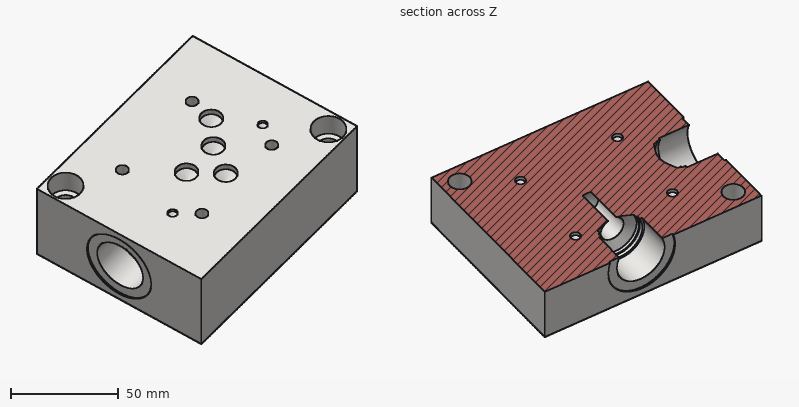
import cadquery as cq
import math

length_x = 95.2
length_y = 120.6
height = 44.4

drill_point_angle = 118.0

mount_edge_distance = 9.5
mount_diameter = 10.7
mount_head_diameter = 16.6
mount_head_depth = 12.1

tapped_spacing_x = 46.1
tapped_spacing_y = 53.9
thread_diameter = 6.0
thread_depth = 14.5
tap_drill_diameter = 5.0
tap_drill_depth = 18.1

pin_x = 12.0
pin_spacing_y = 69.7
pin_diameter = 4.8
pin_depth = 1.5

flow_points = [(-9.5, 23.8), (1.7, 10.4), (16.6, 0), (1.7, -10.4)]
flow_diameter = 11.1
flow_depth = 3.3

port_a_y = 6.4
port_b_x = 0
seal_diameter = 37.2
seal_depth = 0.8
port_thread_diameter = 26.5
port_thread_depth = 17.9
port_minor_diameter = 24.4
port_minor_depth = 19.9
port_drill_diameter = 23.0
port_drill_depth = 21.7
cross_drill_diameter = 12.7
cross_drill_depth = 45.8


def bore(diameter, depth):
    """Flat-bottomed tool cutting along -Z from the origin."""
    return cq.Workplane("XY").circle(diameter / 2).extrude(-depth)


def drill(diameter, depth):
    """Tool cutting along -Z: full diameter down to depth, then the drill point."""
    radius = diameter / 2
    point_length = radius / math.tan(math.radians(drill_point_angle / 2))
    profile = cq.Workplane("XZ").polyline(
        [(0, 0), (radius, 0), (radius, -depth), (0, -depth - point_length)]
    )
    return profile.close().revolve(360, (0, 0, 0), (0, 1, 0))


def port():
    """Stepped side port cutting along -Z from the origin."""
    tool = bore(seal_diameter, seal_depth)
    tool = tool.union(bore(port_thread_diameter, port_thread_depth))
    tool = tool.union(bore(port_minor_diameter, port_minor_depth))
    return tool.union(drill(port_drill_diameter, port_drill_depth))


def cut_from_top(body, tool, points):
    """Cut the tool into the top face at each point."""
    for x, y in points:
        body = body.cut(tool.translate((x, y, height / 2)))
    return body


result = cq.Workplane("XY").box(length_x, length_y, height)

mount_x = length_x / 2 - mount_edge_distance
mount_y = length_y / 2 - mount_edge_distance
mount_tool = bore(mount_head_diameter, mount_head_depth).union(bore(mount_diameter, height))
result = cut_from_top(result, mount_tool, [(-mount_x, -mount_y), (mount_x, mount_y)])

tapped_tool = bore(thread_diameter, thread_depth).union(drill(tap_drill_diameter, tap_drill_depth))
tapped_points = [
    (side_x * tapped_spacing_x / 2, side_y * tapped_spacing_y / 2)
    for side_x in (-1, 1)
    for side_y in (-1, 1)
]
result = cut_from_top(result, tapped_tool, tapped_points)

pin_points = [(pin_x, side_y * pin_spacing_y / 2) for side_y in (-1, 1)]
result = cut_from_top(result, drill(pin_diameter, pin_depth), pin_points)

result = cut_from_top(result, drill(flow_diameter, flow_depth), flow_points)

port_a = port().union(drill(cross_drill_diameter, cross_drill_depth))
port_a = port_a.rotate((0, 0, 0), (0, 1, 0), -90)
result = result.cut(port_a.translate((-length_x / 2, port_a_y, 0)))

port_b = port().rotate((0, 0, 0), (1, 0, 0), 90)
result = result.cut(port_b.translate((port_b_x, -length_y / 2, 0)))